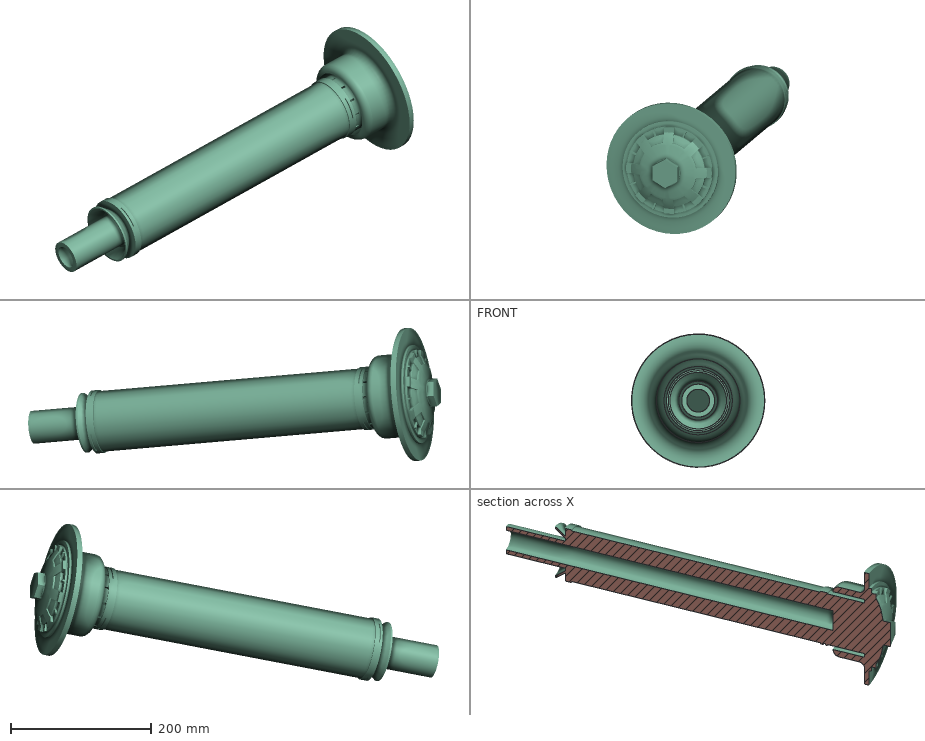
import cadquery as cq
import math

LENGTH = 601.0
END_Y = LENGTH / 2

HEX_FLATS = 36.0
HEX_CORNERS = HEX_FLATS / math.cos(math.pi / 6)
WASHER_TOP = 9.0
WASHER_RADIUS = 20.0

DOME_TOP = 11.0
DOME_MID_RADIUS = 39.5
DOME_MID = 15.0
DOME_EDGE_RADIUS = 56.0
DOME_EDGE = 22.0
RIM_RADIUS = 63.0
RIB_COUNT = 8
RIB_WIDTH = 14.5
WINDOW_INNER_RADIUS = 42.0
WINDOW_INNER_DEPTH = 18.0
WINDOW_STEP_RADIUS = 53.0
WINDOW_STEP_TOP = 22.0
WINDOW_FLOOR = 26.5
DIVIDER_WIDTH = 2.5
DIVIDER_TOP = 23.5

RING_TOP = 29.5
RING_RADIUS = 70.0
FLANGE_TOP = 33.0
FLANGE_THICKNESS = 8.0
FLANGE_BOTTOM = FLANGE_TOP + FLANGE_THICKNESS
FLANGE_RADIUS = 95.0

CUP_RADIUS = 59.5
CUP_BOTTOM = 90.0
CUP_TOP_FILLET = 8.5
CUP_BOTTOM_FILLET = 10.0
CUP_BORE_RADIUS = 48.5

TUBE_RADIUS = 43.0
COLLAR_RADIUS = 45.0
UPPER_COLLAR_TOP = 98.0
UPPER_COLLAR_BOTTOM = 110.0
LOWER_COLLAR_TOP = 498.0
LOWER_COLLAR_BOTTOM = 509.0

NECK_SLOT_COUNT = 12
NECK_SLOT_WIDTH = 3.0
NECK_SLOT_DEPTH = 5.0
NECK_SLOT_TOP = 80.5

COLLAR_SLOT_COUNT = 3
COLLAR_SLOT_SPAN = 42.0
COLLAR_SLOT_WIDTH = 2.0
COLLAR_SLOT_DEPTH = 2.5
UPPER_SLOT_ANGLE = 57.0
UPPER_SLOT_MIDDLE = 103.5
LOWER_SLOT_ANGLE = 31.0
LOWER_SLOT_MIDDLE = 505.0

SKIRT_NECK_RADIUS = 32.0
SKIRT_RADIUS = 42.5
SKIRT_EDGE = 522.0
SKIRT_BOTTOM = 524.5
SKIRT_INNER_NECK_RADIUS = 27.5
SKIRT_INNER_RADIUS = 40.0
PIPE_RADIUS = 23.5
PIPE_BORE_RADIUS = 16.0

CUT_MARGIN = 6.0


def at(radius, depth):
    """Profile point at a radius from the axis and a depth below the hex end."""
    return (radius, END_Y - depth)


def turned(profile):
    """Revolve a closed profile about the Y axis."""
    return profile.close().revolve(360, (0, 0), (0, 1))


def ring(outer_radius, inner_radius, top, bottom):
    """Round ring, or a disc when the inner radius is zero, between two depths."""
    sketch = cq.Workplane("XZ", origin=(0, END_Y - top, 0)).circle(outer_radius)
    if inner_radius > 0:
        sketch = sketch.circle(inner_radius)
    return sketch.extrude(bottom - top)


def radial_bar(angle, width, inner_radius, outer_radius, top, bottom):
    """Bar pointing outward at an angle measured from +Z toward +X."""
    length = outer_radius - inner_radius
    bar = cq.Workplane("XY").box(width, bottom - top, length)
    middle_y = END_Y - (top + bottom) / 2
    bar = bar.translate((0, middle_y, inner_radius + length / 2))
    return bar.rotate((0, 0, 0), (0, 1, 0), angle)


def hex_knob():
    knob = cq.Workplane("XZ", origin=(0, END_Y, 0)).polygon(6, HEX_CORNERS).extrude(DOME_TOP)
    return knob.rotate((0, 0, 0), (0, 1, 0), 90)


def cap_and_cup():
    """Washer, dome, seat ring, flange and the outside of the cup."""
    bend = math.sqrt(0.5)
    top_fillet_mid = at(
        CUP_RADIUS + CUP_TOP_FILLET * (1 - bend),
        FLANGE_BOTTOM + CUP_TOP_FILLET * (1 - bend),
    )
    bottom_fillet_mid = at(
        CUP_RADIUS - CUP_BOTTOM_FILLET * (1 - bend),
        CUP_BOTTOM - CUP_BOTTOM_FILLET * (1 - bend),
    )
    profile = (
        cq.Workplane("XY")
        .moveTo(*at(0, WASHER_TOP))
        .lineTo(*at(WASHER_RADIUS, WASHER_TOP))
        .lineTo(*at(WASHER_RADIUS, DOME_TOP))
        .threePointArc(at(DOME_MID_RADIUS, DOME_MID), at(DOME_EDGE_RADIUS, DOME_EDGE))
        .lineTo(*at(RIM_RADIUS, DOME_EDGE))
        .lineTo(*at(RIM_RADIUS, RING_TOP))
        .lineTo(*at(RING_RADIUS, RING_TOP))
        .lineTo(*at(RING_RADIUS, FLANGE_TOP))
        .lineTo(*at(FLANGE_RADIUS, FLANGE_TOP))
        .lineTo(*at(FLANGE_RADIUS, FLANGE_BOTTOM))
        .lineTo(*at(CUP_RADIUS + CUP_TOP_FILLET, FLANGE_BOTTOM))
        .threePointArc(top_fillet_mid, at(CUP_RADIUS, FLANGE_BOTTOM + CUP_TOP_FILLET))
        .lineTo(*at(CUP_RADIUS, CUP_BOTTOM - CUP_BOTTOM_FILLET))
        .threePointArc(bottom_fillet_mid, at(CUP_RADIUS - CUP_BOTTOM_FILLET, CUP_BOTTOM))
        .lineTo(*at(0, CUP_BOTTOM))
    )
    return turned(profile)


def dome_windows():
    """Recess around the dome edge, interrupted by ribs and by a thin divider between ribs."""
    clear_radius = RIM_RADIUS + CUT_MARGIN
    profile = (
        cq.Workplane("XY")
        .moveTo(*at(WINDOW_INNER_RADIUS, DOME_TOP))
        .lineTo(*at(WINDOW_INNER_RADIUS, WINDOW_INNER_DEPTH))
        .lineTo(*at(WINDOW_STEP_RADIUS, WINDOW_STEP_TOP))
        .lineTo(*at(WINDOW_STEP_RADIUS, WINDOW_FLOOR))
        .lineTo(*at(clear_radius, WINDOW_FLOOR))
        .lineTo(*at(clear_radius, DOME_TOP))
    )
    recess = turned(profile)
    pitch = 360 / RIB_COUNT
    for index in range(RIB_COUNT):
        rib = radial_bar(index * pitch, RIB_WIDTH, 0, clear_radius + CUT_MARGIN, WASHER_TOP, RING_TOP)
        divider = radial_bar(
            (index + 0.5) * pitch, DIVIDER_WIDTH, WINDOW_INNER_RADIUS, RIM_RADIUS, DIVIDER_TOP, RING_TOP
        )
        recess = recess.cut(rib).cut(divider)
    return recess


def cup_gap():
    """Ring-shaped gap between the cup wall and the filter tube."""
    return ring(CUP_BORE_RADIUS, TUBE_RADIUS, FLANGE_BOTTOM, CUP_BOTTOM)


def filter_tube():
    tube = ring(TUBE_RADIUS, 0, FLANGE_BOTTOM, LOWER_COLLAR_BOTTOM)
    upper_collar = ring(COLLAR_RADIUS, 0, UPPER_COLLAR_TOP, UPPER_COLLAR_BOTTOM)
    lower_collar = ring(COLLAR_RADIUS, 0, LOWER_COLLAR_TOP, LOWER_COLLAR_BOTTOM)
    return tube.union(upper_collar).union(lower_collar)


def cut_neck_slots(body):
    pitch = 360 / NECK_SLOT_COUNT
    for index in range(NECK_SLOT_COUNT):
        slot = radial_bar(
            (index + 0.5) * pitch,
            NECK_SLOT_WIDTH,
            TUBE_RADIUS - NECK_SLOT_DEPTH,
            (TUBE_RADIUS + CUP_BORE_RADIUS) / 2,
            NECK_SLOT_TOP,
            UPPER_COLLAR_TOP,
        )
        body = body.cut(slot)
    return body


def cut_collar_slots(body, middle_depth, first_angle):
    """Cut equally spaced arc slots around a collar."""
    profile = cq.Workplane("YZ").center(END_Y - middle_depth, COLLAR_RADIUS)
    profile = profile.rect(COLLAR_SLOT_WIDTH, 2 * COLLAR_SLOT_DEPTH)
    arc = profile.revolve(COLLAR_SLOT_SPAN, (0, -COLLAR_RADIUS), (1, -COLLAR_RADIUS))
    arc = arc.rotate((0, 0, 0), (0, 1, 0), -COLLAR_SLOT_SPAN / 2)
    for index in range(COLLAR_SLOT_COUNT):
        angle = first_angle + index * 360 / COLLAR_SLOT_COUNT
        body = body.cut(arc.rotate((0, 0, 0), (0, 1, 0), angle))
    return body


def skirt():
    """Hollow cone flaring away from the lower collar."""
    profile = (
        cq.Workplane("XY")
        .moveTo(*at(SKIRT_NECK_RADIUS, LOWER_COLLAR_BOTTOM))
        .lineTo(*at(SKIRT_RADIUS, SKIRT_EDGE))
        .lineTo(*at(SKIRT_RADIUS, SKIRT_BOTTOM))
        .lineTo(*at(SKIRT_INNER_RADIUS, SKIRT_BOTTOM))
        .lineTo(*at(SKIRT_INNER_NECK_RADIUS, LOWER_COLLAR_BOTTOM))
    )
    return turned(profile)


head = hex_knob().union(cap_and_cup().cut(dome_windows()).cut(cup_gap()))
pipe = ring(PIPE_RADIUS, 0, LOWER_COLLAR_TOP, LENGTH)
pipe_bore = ring(PIPE_BORE_RADIUS, 0, CUP_BOTTOM, LENGTH)

tube = cut_neck_slots(filter_tube())
tube = cut_collar_slots(tube, UPPER_SLOT_MIDDLE, UPPER_SLOT_ANGLE)
tube = cut_collar_slots(tube, LOWER_SLOT_MIDDLE, LOWER_SLOT_ANGLE)

result = head.union(tube).union(skirt()).union(pipe).cut(pipe_bore)